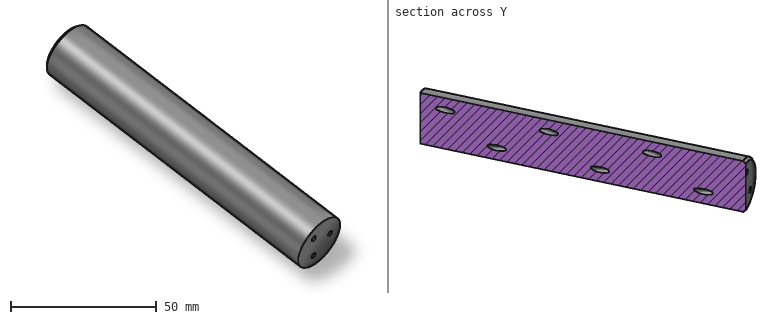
import cadquery as cq
import math

bar_length = 120.0
bar_diameter = 21.0
chamfer_size = 1.0

hole_count = 3
hole_diameter = 2.0
hole_circle_radius = 5.5
first_hole_angle = 101.0
helix_angle = 30.0

helix_lead = math.pi * bar_diameter / math.tan(math.radians(helix_angle))
total_twist = 360 * bar_length / helix_lead


def make_bar():
    """Bar centred on the origin, with its -X rim chamfered."""
    bar = cq.Workplane("YZ").circle(bar_diameter / 2).extrude(bar_length / 2, both=True)
    return bar.faces("<X").chamfer(chamfer_size)


def make_hole(angle):
    """Helical cutter, circular in cross-section, turning from +Y towards +Z along +X."""
    start_y = hole_circle_radius * math.cos(angle)
    start_z = hole_circle_radius * math.sin(angle)
    return (
        cq.Workplane("YZ", origin=(-bar_length / 2, 0, 0))
        .center(start_y, start_z)
        .circle(hole_diameter / 2)
        .center(-start_y, -start_z)
        .twistExtrude(bar_length, total_twist)
    )


result = make_bar()
for index in range(hole_count):
    hole_angle = math.radians(first_hole_angle + index * 360 / hole_count)
    result = result.cut(make_hole(hole_angle))